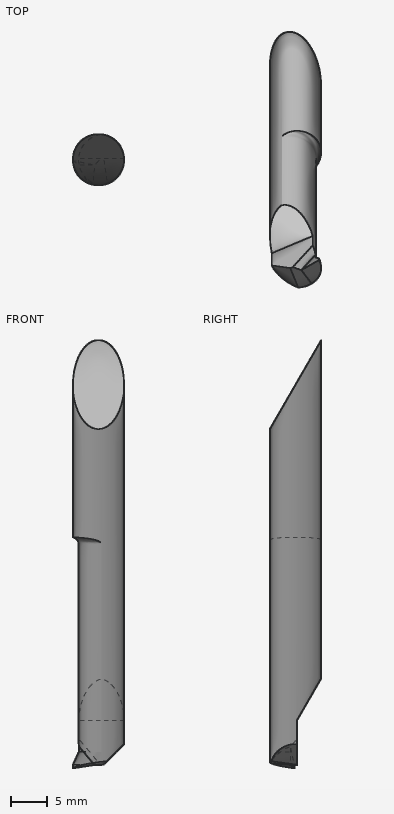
import cadquery as cq
import math


length = 58.3
radius = 3.5
bevel_angle = 60.0
margin = 2.9

neck_offset = 0.75
shoulder_z = 31.5
shoulder_fillet = 0.95
flare_top = 2.3
flare_bottom = 0.5

relief_y = 0.25
relief_z = 6.6

end_corner_x = 0.7
end_corner_z = 0.5
end_rise_x = 0.13
end_rise_y = 0.12

seam_angle = 40.0
tip_y = -0.09
seam_distance = 2.55
seam_y = -0.7
groove_wall_run = 0.65

bevel_slope = math.tan(math.radians(bevel_angle))


def prism_along_x(points):
    """Outline in (Y, Z), extruded well past the shank on both sides in X."""
    return cq.Workplane("YZ").polyline(points).close().extrude(radius + margin, both=True)


def seam_plane():
    """Plane with local X square to the seam, local Y along global Y, origin at the tip corner."""
    angle = math.radians(seam_angle)
    return cq.Plane(
        origin=(-radius, 0, 0),
        xDir=(math.cos(angle), 0, math.sin(angle)),
        normal=(-math.sin(angle), 0, math.cos(angle)),
    )


def make_shank():
    shank = cq.Workplane("XY").circle(radius).extrude(length)
    outer = radius + margin
    bevel = prism_along_x([
        (radius + margin, length + margin * bevel_slope),
        (-outer, length - (radius + outer) * bevel_slope),
        (-outer, length + margin * bevel_slope),
    ])
    return shank.cut(bevel)


def make_neck_envelope():
    """Eccentric neck with a filleted shoulder above and a flared head below."""
    fillet_start = shoulder_z - shoulder_fillet
    shoulder_radius = radius + shoulder_fillet
    diagonal = shoulder_fillet * math.sqrt(0.5)
    neck = (
        cq.Workplane("XZ")
        .moveTo(0, flare_top)
        .lineTo(radius, flare_top)
        .lineTo(radius, fillet_start)
        .threePointArc(
            (shoulder_radius - diagonal, fillet_start + diagonal),
            (shoulder_radius, shoulder_z),
        )
        .lineTo(shoulder_radius, length)
        .lineTo(0, length)
        .close()
        .revolve(360, (0, 0, 0), (0, 1, 0))
        .translate((neck_offset, 0, 0))
    )
    flare = (
        cq.Workplane("XY", origin=(0, 0, flare_bottom))
        .circle(radius)
        .workplane(offset=flare_top - flare_bottom)
        .center(neck_offset, 0)
        .circle(radius)
        .loft(ruled=True)
    )
    nose = cq.Workplane("XY").circle(radius).extrude(flare_bottom)
    return neck.union(flare).union(nose)


def make_relief():
    outer = radius + margin
    return prism_along_x([
        (relief_y, -margin),
        (relief_y, relief_z),
        (outer, relief_z + (outer - relief_y) * bevel_slope),
        (outer, -margin),
    ])


def make_end_chamfer():
    """45 degree chamfer on the +X side of the lower end."""
    size = radius + margin
    return (
        cq.Workplane("XZ")
        .moveTo(end_corner_x - size, end_corner_z - size)
        .lineTo(end_corner_x + size, end_corner_z + size)
        .lineTo(end_corner_x + size, end_corner_z - size)
        .close()
        .extrude(size, both=True)
    )


def make_end_clearance():
    """Block under the end face, which rises from the tip corner towards +X and -Y."""
    end_plane = cq.Plane(
        origin=(-radius, 0, 0),
        xDir=(1, 0, end_rise_x),
        normal=(-end_rise_x, end_rise_y, 1),
    )
    width = 4 * (radius + margin)
    return cq.Workplane(end_plane).rect(width, width).extrude(-margin)


def make_chip_groove():
    rake_slope = (seam_y - tip_y) / seam_distance
    wall_slope = (relief_y - seam_y) / groove_wall_run
    return (
        cq.Workplane(seam_plane())
        .moveTo(-margin, tip_y - margin * rake_slope)
        .lineTo(seam_distance, seam_y)
        .lineTo(seam_distance + margin / wall_slope, seam_y + margin)
        .lineTo(-margin, seam_y + margin)
        .close()
        .extrude(2 * radius + margin, both=True)
    )


def make_tip_region():
    """Everything on the tip side of the seam."""
    size = 2 * radius + margin
    return (
        cq.Workplane(seam_plane())
        .center(seam_distance - size / 2, 0)
        .rect(size, size)
        .extrude(size, both=True)
    )


def make_bar():
    """Complete tool outline, before the tip is separated from the shank."""
    bar = make_shank().intersect(make_neck_envelope())
    for cutter in (make_relief(), make_end_chamfer(), make_end_clearance(), make_chip_groove()):
        bar = bar.cut(cutter)
    return bar


bar = make_bar()
tip_region = make_tip_region()
holder = bar.cut(tip_region)
cutting_tip = bar.intersect(tip_region)

result = cq.Compound.makeCompound([holder.solids().val(), cutting_tip.solids().val()])